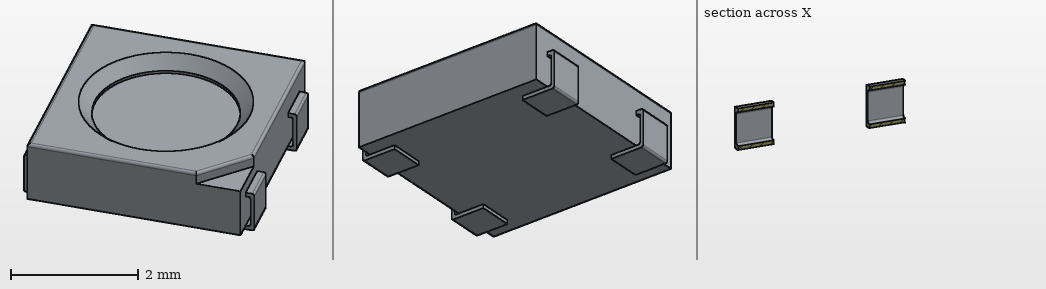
import cadquery as cq

overall_length = 3.78
overall_height = 1.12
body_side = 3.5

lead_thickness = 0.07
upright_thickness = 0.06
lead_width = 0.627
lead_height = 0.7
foot_length = 0.627
lead_spacing = 2.305
outer_bend_radius = 0.038
inner_bend_radius = 0.038

top_edge_radius = 0.05
notch_leg = 0.725
notch_depth = 0.208

cup_floor_diameter = 2.332
cone_depth = 0.208
cup_rim_diameter = cup_floor_diameter + 2 * cone_depth
well_depth = 0.05

half_length = overall_length / 2
half_side = body_side / 2


def make_upper_body():
    """Top layer with one corner cut off and a rounded top edge."""
    return (
        cq.Workplane("XY", origin=(0, 0, overall_height - notch_depth))
        .moveTo(-half_side, -half_side)
        .lineTo(half_side - notch_leg, -half_side)
        .lineTo(half_side, -half_side + notch_leg)
        .lineTo(half_side, half_side)
        .lineTo(-half_side, half_side)
        .close()
        .extrude(notch_depth)
        .faces(">Z")
        .edges()
        .fillet(top_edge_radius)
    )


def make_lower_body():
    """Full square block that rests on the lead feet."""
    height = overall_height - notch_depth - lead_thickness
    return (
        cq.Workplane("XY", origin=(0, 0, lead_thickness))
        .rect(body_side, body_side)
        .extrude(height)
    )


def make_cup():
    """Solid that is removed to leave the reflector cup."""
    well = (
        cq.Workplane("XY", origin=(0, 0, overall_height - cone_depth - well_depth))
        .circle(cup_floor_diameter / 2)
        .extrude(well_depth)
    )
    cone = (
        cq.Workplane("XY", origin=(0, 0, overall_height - cone_depth))
        .circle(cup_floor_diameter / 2)
        .workplane(offset=cone_depth)
        .circle(cup_rim_diameter / 2)
        .loft()
    )
    return well.union(cone)


def make_left_lead(center_y):
    """Lead on the -X side: foot, upright and a top arm that meets the body."""
    outer_x = -half_length
    inner_x = outer_x + upright_thickness
    foot_x = outer_x + foot_length
    arm_underside = lead_height - lead_thickness
    lead = (
        cq.Workplane("XZ", origin=(0, center_y, 0))
        .moveTo(foot_x, 0)
        .lineTo(outer_x, 0)
        .lineTo(outer_x, lead_height)
        .lineTo(-half_side, lead_height)
        .lineTo(-half_side, arm_underside)
        .lineTo(inner_x, arm_underside)
        .lineTo(inner_x, lead_thickness)
        .lineTo(foot_x, lead_thickness)
        .close()
        .extrude(lead_width / 2, both=True)
    )
    lead = lead.faces("<X").edges("|Y").fillet(outer_bend_radius)
    inner_upright = cq.selectors.NearestToPointSelector((inner_x, center_y, lead_height / 2))
    return lead.faces(inner_upright).edges("|Y").fillet(inner_bend_radius)


result = make_lower_body().union(make_upper_body()).cut(make_cup())
for lead_y in (-lead_spacing / 2, lead_spacing / 2):
    left_lead = make_left_lead(lead_y)
    result = result.union(left_lead).union(left_lead.mirror("YZ"))